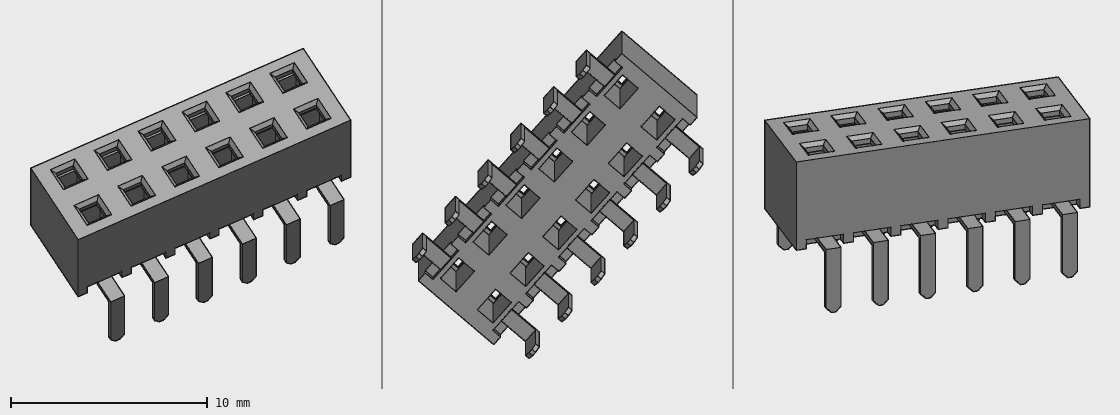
import cadquery as cq


pin_count = 6
pitch = 2.53
row_x = pitch / 2

body_length = 15.74
body_width = 5.08
body_height = 5.0
body_half_width = body_width / 2

throat_size = 1.0
mouth_chamfer = 0.2
mouth_size = throat_size + 2 * mouth_chamfer
throat_end_depth = 0.5
chamber_clearance = 0.05

overall_width = 7.87
tip_depth = 3.1
pin_width = 0.8
pin_thickness = 0.25
tip_width = 0.24
tip_length = 0.28
blade_top_depth = 0.71
pin_outer_x = overall_width / 2
blade_inner_x = row_x + throat_size / 2
blade_outer_x = blade_inner_x + pin_thickness

chamber_width = mouth_size
chamber_inner_x = row_x - throat_size / 2 - chamber_clearance

notch_width = 2.0
notch_height = 0.52


def block(x_start, x_end, y_center, y_width, z_start, z_end):
    """Box between two X values and two Z values, centred on y_center."""
    return cq.Workplane("XY").box(
        x_end - x_start, y_width, z_end - z_start, centered=(False, True, False)
    ).translate((x_start, y_center, z_start))


def socket_cut(y):
    """Mouth, throat and contact chamber of a socket in the +X row."""
    mouth = (
        cq.Workplane("XY", origin=(row_x, y, body_height))
        .rect(mouth_size, mouth_size)
        .workplane(offset=-mouth_chamfer)
        .rect(throat_size, throat_size)
        .loft(ruled=True)
    )
    throat = block(row_x - throat_size / 2, blade_inner_x, y, throat_size, 0, body_height)
    chamber = block(
        chamber_inner_x, blade_outer_x, y, chamber_width, 0, body_height - throat_end_depth
    )
    return mouth.union(throat).union(chamber)


def notch_cut(y):
    """Notch in the lower +X edge, reaching in to the contact chamber."""
    return block(blade_outer_x, body_half_width, y, notch_width, 0, notch_height)


def pin(y):
    """Contact blade, horizontal arm and pointed leg of a pin in the +X row."""
    arm_bottom = notch_height - pin_thickness
    blade = block(
        blade_inner_x, blade_outer_x, y, chamber_width, 0, body_height - blade_top_depth
    )
    arm = block(blade_inner_x, pin_outer_x, y, pin_width, arm_bottom, notch_height)
    half_width = pin_width / 2
    half_tip = tip_width / 2
    leg = (
        cq.Workplane("YZ", origin=(pin_outer_x - pin_thickness, y, 0))
        .moveTo(-half_width, notch_height)
        .lineTo(half_width, notch_height)
        .lineTo(half_width, tip_length - tip_depth)
        .lineTo(half_tip, -tip_depth)
        .lineTo(-half_tip, -tip_depth)
        .lineTo(-half_width, tip_length - tip_depth)
        .close()
        .extrude(pin_thickness)
    )
    return blade.union(arm).union(leg)


half = block(0, body_half_width, 0, body_length, 0, body_height)
for index in range(pin_count):
    pin_y = (index - (pin_count - 1) / 2) * pitch
    half = half.cut(socket_cut(pin_y)).cut(notch_cut(pin_y)).union(pin(pin_y))

result = half.union(half.mirror("YZ"))